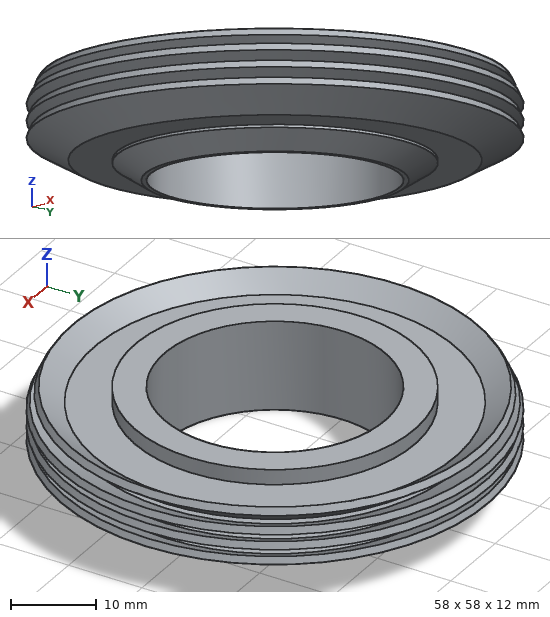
import cadquery as cq

total_height = 12.0
hub_shoulder = 2.1
flange_base = 2.45

flange_pitch = 2.05
rib_count = 3
rim_bevel = 0.85
cup_depth = 2.05
flange_height = total_height - flange_base - rib_count * flange_pitch

bore_radius = 30.0 / 2
hub_base_radius = 15.6
hub_radius = 38.0 / 2
core_radius = 40 / 2
cup_floor_radius = 24.55
rib_base_radius = 24.1
rib_radius = 29.0
rib_top_radius = 28.6
lip_base_radius = 24.5
lip_radius = 28.1
lip_top_radius = 27.55


def flange_profile(base_height, base_radius, peak_radius, top_radius):
    """Outline of a dished flange from its flat underside, round the rim, to its dish floor."""
    top_height = base_height + flange_height
    return [
        (base_radius, base_height),
        (peak_radius, top_height - rim_bevel),
        (top_radius, top_height),
        (cup_floor_radius, top_height - cup_depth),
    ]


profile = [
    (bore_radius, 0),
    (hub_base_radius, 0),
    (hub_radius, hub_shoulder),
    (hub_radius, flange_base),
]

for index in range(rib_count):
    base_height = flange_base + index * flange_pitch
    groove_floor = base_height + flange_height - cup_depth
    profile += flange_profile(base_height, rib_base_radius, rib_radius, rib_top_radius)
    profile += [
        (core_radius, groove_floor),
        (core_radius, base_height + flange_pitch),
    ]

lip_base = flange_base + rib_count * flange_pitch
profile += flange_profile(lip_base, lip_base_radius, lip_radius, lip_top_radius)
profile += [
    (hub_radius, total_height - cup_depth),
    (hub_radius, total_height),
    (bore_radius, total_height),
]

result = cq.Workplane("XZ").polyline(profile).close().revolve(360, (0, 0, 0), (0, 1, 0))